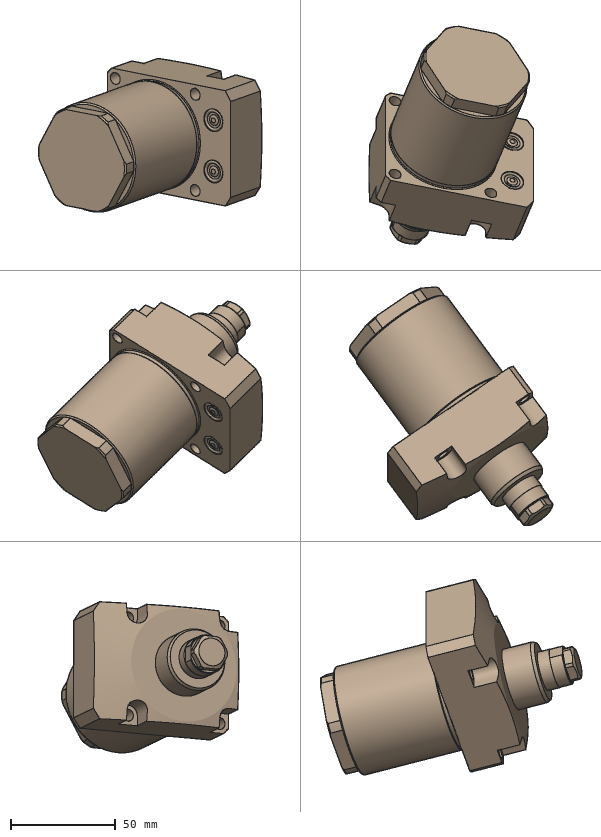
import cadquery as cq
import math


overall_length = 120.8

block_length = 73.6
block_height = 57.1
block_left = block_height / 2
block_right = block_length - block_left
block_depth = 28.8
left_chamfer = 2.5
right_chamfer_x = 3.3
right_chamfer_z = 4.8
cone_start_radius = 27.4
cone_slope = 0.22

bolt_offset = 23.8
bolt_radius = 2.9
pocket_radius = 5.0
pocket_floor_y = 16.1

neck_length = 2.3
neck_flare = 0.5
cylinder_radius = 26.8
cylinder_front_y = -52.1
cylinder_back_chamfer = 0.4
neck_radius = cylinder_radius - cylinder_back_chamfer
cylinder_front_chamfer = 0.7
cap_front_y = -58.7
cap_radius = 26.2
cap_flat_to_flat = 47.6
cap_chamfer = 0.7

collar_radius = 15.0
collar_end_y = 44.7
collar_chamfer_radial = 0.8
collar_chamfer_length = 1.7
rod_radius = 9.5
rod_end_y = 50.6
flatted_radius = 9.4
flatted_end_y = 57.1
flatted_chamfer = 0.4
flat_half_width = 8.7
flat_runout_length = 0.7
flat_runout_rise = 0.1
rod_end_back_y = cap_front_y + overall_length
rod_hex_flat_to_flat = 15.8
rod_hex_radius = 8.7
rod_hex_chamfer_radial = 1.9
rod_hex_chamfer_length = 1.2

port_x = 34.5
port_z = 12.7
ring_outer_radius = 5.5
ring_tube_radius = 0.8
ring_centre_radius = ring_outer_radius - ring_tube_radius
port_recess = 0.6
tip_base_radius = 2.7
tip_top_radius = 1.2
tip_height = 0.5


def revolve_about_y(profile):
    """Turn a closed (radius, y) outline about the Y axis."""
    return cq.Workplane("XY").polyline(profile).close().revolve(360, (0, 0), (0, 1))


def y_cylinder(radius, start_y, end_y, x=0, z=0):
    """Cylinder parallel to Y."""
    base = cq.Vector(x, start_y, z)
    return cq.Workplane(cq.Solid.makeCylinder(radius, end_y - start_y, base, cq.Vector(0, 1, 0)))


def y_hexagon(flat_to_flat, start_y, end_y):
    """Hexagonal prism along Y with two flats facing up and down."""
    corner_diameter = flat_to_flat / math.cos(math.pi / 6)
    return (
        cq.Workplane("XZ", origin=(0, start_y, 0))
        .polygon(6, corner_diameter)
        .extrude(start_y - end_y)
    )


def make_block():
    half_height = block_height / 2
    outline = [
        (-block_left, -half_height + left_chamfer),
        (-block_left + left_chamfer, -half_height),
        (block_right - right_chamfer_x, -half_height),
        (block_right, -half_height + right_chamfer_z),
        (block_right, half_height - right_chamfer_z),
        (block_right - right_chamfer_x, half_height),
        (-block_left + left_chamfer, half_height),
        (-block_left, half_height - left_chamfer),
    ]
    block = cq.Workplane("XZ").polyline(outline).close().extrude(-block_depth)

    reach = block_right + half_height
    cone_drop = cone_slope * (reach - cone_start_radius)
    envelope = revolve_about_y([
        (0, 0),
        (reach, 0),
        (reach, block_depth - cone_drop),
        (cone_start_radius, block_depth),
        (0, block_depth),
    ])
    return block.intersect(envelope)


def pocket_box(x_min, x_max, z_min, z_max):
    """Rectangular cutter from the pocket floor through the rear face."""
    return cq.Workplane("XY").box(
        x_max - x_min, block_depth - pocket_floor_y, z_max - z_min, centered=False
    ).translate((x_min, pocket_floor_y, z_min))


def cut_bolt_holes(block):
    beyond = block_height
    for side in (-1, 1):
        z_edges = sorted((side * bolt_offset, side * beyond))
        z_inner_edges = sorted((side * (bolt_offset - pocket_radius), side * beyond))
        for x in (-bolt_offset, bolt_offset):
            z = side * bolt_offset
            block = block.cut(y_cylinder(bolt_radius, 0, block_depth, x, z))
            block = block.cut(y_cylinder(pocket_radius, pocket_floor_y, block_depth, x, z))
            block = block.cut(pocket_box(x - pocket_radius, x + pocket_radius, *z_edges))
        block = block.cut(pocket_box(-beyond, -bolt_offset, *z_inner_edges))
    return block


def make_front_cylinder():
    return revolve_about_y([
        (0, 0),
        (neck_radius + neck_flare, 0),
        (neck_radius, -neck_flare),
        (neck_radius, -neck_length),
        (cylinder_radius, -neck_length - cylinder_back_chamfer),
        (cylinder_radius, cylinder_front_y + cylinder_front_chamfer),
        (cylinder_radius - cylinder_front_chamfer, cylinder_front_y),
        (0, cylinder_front_y),
    ])


def make_cap():
    turned = y_cylinder(cap_radius, cap_front_y, cylinder_front_y).faces("<Y").chamfer(cap_chamfer)
    return turned.intersect(y_hexagon(cap_flat_to_flat, cap_front_y, cylinder_front_y))


def make_collar_and_rod():
    return revolve_about_y([
        (0, block_depth),
        (collar_radius, block_depth),
        (collar_radius, collar_end_y - collar_chamfer_length),
        (collar_radius - collar_chamfer_radial, collar_end_y),
        (rod_radius, collar_end_y),
        (rod_radius, rod_end_y),
        (0, rod_end_y),
    ])


def make_flatted_section():
    turned = y_cylinder(flatted_radius, rod_end_y, flatted_end_y).faces(">Y").chamfer(flatted_chamfer)
    shoulder_half_width = flat_half_width + flat_runout_rise
    runout_end_y = rod_end_y + flat_runout_length
    flats = (
        cq.Workplane("XY")
        .polyline([
            (-shoulder_half_width, rod_end_y),
            (shoulder_half_width, rod_end_y),
            (flat_half_width, runout_end_y),
            (flat_half_width, flatted_end_y),
            (-flat_half_width, flatted_end_y),
            (-flat_half_width, runout_end_y),
        ])
        .close()
        .extrude(flatted_radius, both=True)
    )
    return turned.intersect(flats)


def make_rod_hexagon():
    turned = revolve_about_y([
        (0, flatted_end_y),
        (rod_hex_radius, flatted_end_y),
        (rod_hex_radius, rod_end_back_y - rod_hex_chamfer_length),
        (rod_hex_radius - rod_hex_chamfer_radial, rod_end_back_y),
        (0, rod_end_back_y),
    ])
    return turned.intersect(y_hexagon(rod_hex_flat_to_flat, flatted_end_y, rod_end_back_y))


def add_port(body, z):
    along_y = cq.Vector(0, 1, 0)
    floor_centre = cq.Vector(port_x, port_recess, z)
    ring = cq.Solid.makeTorus(ring_centre_radius, ring_tube_radius, floor_centre, along_y)
    tip = cq.Solid.makeCone(tip_base_radius, tip_top_radius, tip_height, floor_centre, -along_y)
    recess = y_cylinder(ring_outer_radius, 0, port_recess, port_x, z)
    return body.cut(recess).union(cq.Workplane(ring)).union(cq.Workplane(tip))


result = cut_bolt_holes(make_block())
for section in (
    make_front_cylinder(),
    make_cap(),
    make_collar_and_rod(),
    make_flatted_section(),
    make_rod_hexagon(),
):
    result = result.union(section)
for z in (-port_z, port_z):
    result = add_port(result, z)